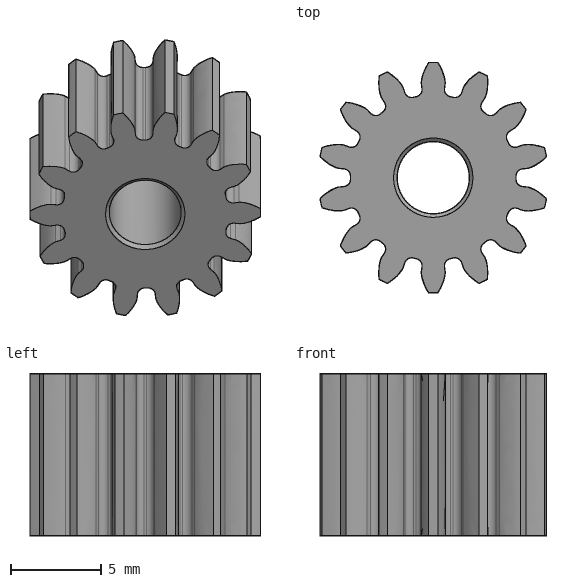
import cadquery as cq
import math

tooth_count = 14
outer_diameter = 12.8
face_width = 9.0
bore_diameter = 4.0
bore_chamfer = 0.2
pressure_angle = math.radians(20)
dedendum_factor = 1.25
root_fillet_radius = 0.4
flank_points = 7

module = outer_diameter / (tooth_count + 2)
outer_radius = outer_diameter / 2
pitch_radius = module * tooth_count / 2
base_radius = pitch_radius * math.cos(pressure_angle)
root_radius = pitch_radius - dedendum_factor * module
pitch_angle = 2 * math.pi / tooth_count


def involute(angle):
    return math.tan(angle) - angle


def polar(radius, angle):
    return (radius * math.cos(angle), radius * math.sin(angle))


def flank_half_angle(radius):
    """Half the angle spanned by a tooth at a radius on the involute."""
    local_pressure_angle = math.acos(base_radius / radius)
    return pitch_angle / 4 + involute(pressure_angle) - involute(local_pressure_angle)


base_half_angle = flank_half_angle(base_radius)
tip_roll = math.sqrt((outer_radius / base_radius) ** 2 - 1)
flank_radii = [
    base_radius * math.sqrt(1 + (tip_roll * i / (flank_points - 1)) ** 2)
    for i in range(flank_points)
]
tip_turn = tip_roll - base_half_angle


def add_tooth(outline, center):
    """Draw one tooth and the root gap after it, starting at its root."""
    rising = [polar(r, center - flank_half_angle(r)) for r in flank_radii]
    falling = [polar(r, center + flank_half_angle(r)) for r in reversed(flank_radii)]
    rising_tangents = [polar(1, center - base_half_angle), polar(1, center + tip_turn)]
    falling_tangents = [polar(-1, center - tip_turn), polar(-1, center + base_half_angle)]
    next_center = center + pitch_angle
    return (
        outline.lineTo(*rising[0])
        .spline(rising[1:], tangents=rising_tangents, includeCurrent=True)
        .threePointArc(polar(outer_radius, center), falling[0])
        .spline(falling[1:], tangents=falling_tangents, includeCurrent=True)
        .lineTo(*polar(root_radius, center + base_half_angle))
        .threePointArc(
            polar(root_radius, center + pitch_angle / 2),
            polar(root_radius, next_center - base_half_angle),
        )
    )


def make_toothed_blank():
    first_center = math.pi / 2
    outline = cq.Workplane("XY").moveTo(*polar(root_radius, first_center - base_half_angle))
    for i in range(tooth_count):
        outline = add_tooth(outline, first_center + i * pitch_angle)
    return outline.close().extrude(face_width)


def fillet_roots(blank):
    selection_radius = (root_radius + base_radius) / 2
    corners = blank.edges("|Z").filter(
        lambda edge: math.hypot(edge.Center().x, edge.Center().y) < selection_radius
    )
    return corners.fillet(root_fillet_radius)


def make_bore_cutter():
    """Plain bore with a 45 degree countersink at each end."""
    bore_radius = bore_diameter / 2
    mouth_radius = bore_radius + bore_chamfer
    half_section = cq.Workplane("XZ").polyline([
        (0, 0),
        (mouth_radius, 0),
        (bore_radius, bore_chamfer),
        (bore_radius, face_width - bore_chamfer),
        (mouth_radius, face_width),
        (0, face_width),
    ])
    return half_section.close().revolve(360, (0, 0), (0, 1))


result = fillet_roots(make_toothed_blank()).cut(make_bore_cutter())